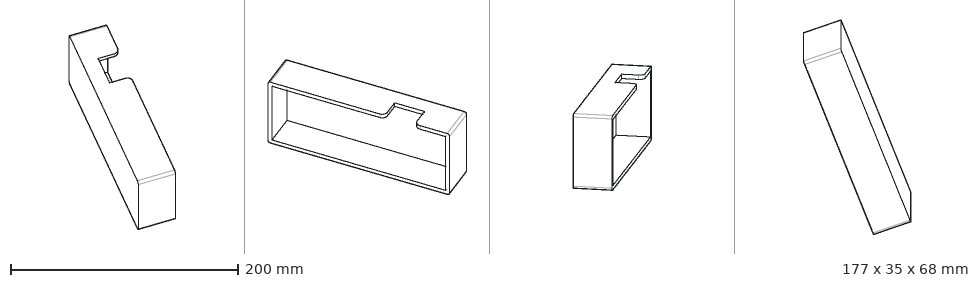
import cadquery as cq

LENGTH = 177.0
DEPTH = 35.0
HEIGHT = 68.0
CORNER_RADIUS = 2.5

WALL = 4.0

NOTCH_WIDTH = 29.0
NOTCH_DEPTH = 20.0
NOTCH_OFFSET = 34.0
NOTCH_LIP_RADIUS = 5.0


def outer_block():
    """Solid block with its four edges along Y rounded; the closed face lies at Y = 0."""
    block = cq.Workplane("XY").box(LENGTH, DEPTH, HEIGHT, centered=(True, False, True))
    return block.edges("|Y").fillet(CORNER_RADIUS)


def cavity():
    """Inner space, leaving an even wall all round and open at the +Y rim."""
    return (
        cq.Workplane("XY")
        .box(LENGTH - 2 * WALL, DEPTH - WALL, HEIGHT - 2 * WALL, centered=(True, False, True))
        .translate((0, WALL, 0))
    )


def notch():
    """Square-bottomed notch whose sides flare into the rim with convex rounds."""
    left = -LENGTH / 2 + NOTCH_OFFSET
    right = left + NOTCH_WIDTH
    bottom = DEPTH - NOTCH_DEPTH
    round_start = DEPTH - NOTCH_LIP_RADIUS
    inner_face = HEIGHT / 2 - WALL
    return (
        cq.Workplane("XY", origin=(0, 0, inner_face))
        .moveTo(left, bottom)
        .lineTo(right, bottom)
        .lineTo(right, round_start)
        .radiusArc((right + NOTCH_LIP_RADIUS, DEPTH), NOTCH_LIP_RADIUS)
        .lineTo(left - NOTCH_LIP_RADIUS, DEPTH)
        .radiusArc((left, round_start), NOTCH_LIP_RADIUS)
        .close()
        .extrude(WALL)
    )


result = outer_block().cut(cavity()).cut(notch())